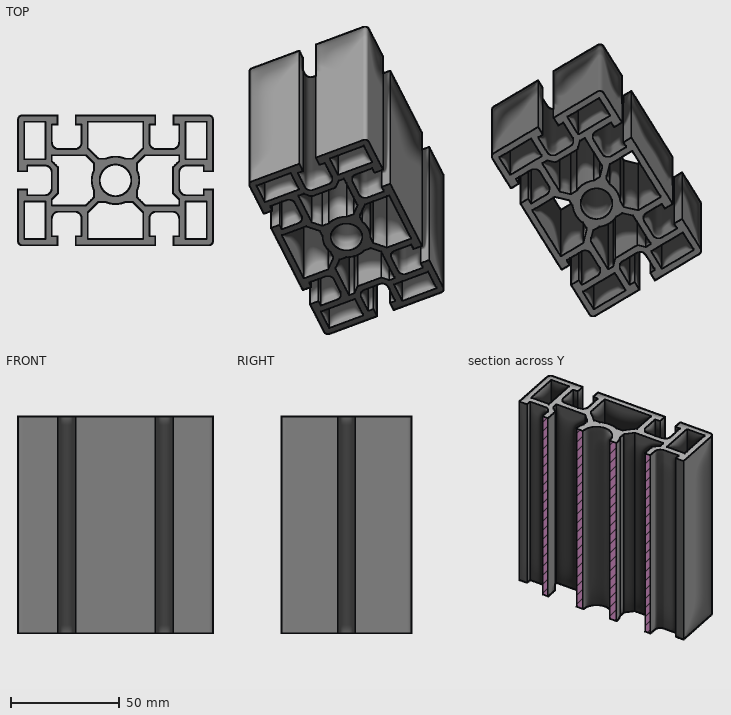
import cadquery as cq
import math

WIDTH = 90.0
DEPTH = 60.0
LENGTH = 100.0
HALF_X = WIDTH / 2
HALF_Y = DEPTH / 2
CORNER_RADIUS = 2.0

OUTER_WALL = 3.0
INNER_WALL = 3.0

SLOT_OFFSET = WIDTH / 4
SLOT_OPENING = 8.3
SLOT_CAVITY = 13.6
SLOT_LIP = 4.3
SLOT_DEPTH = 15.5
SLOT_FLOOR_RADIUS = 3.0

BORE_DIAMETER = 14.5
TUBE_DIAMETER = 22.0
HUB_HALF = 10.0
RIB_HALF_SHIFT = INNER_WALL / math.sqrt(2)

SIDE_CHAMFER_Y = 6.0


def prism(points):
    """Full-length prism over a closed polygon."""
    return cq.Workplane("XY").polyline(points).close().extrude(LENGTH)


def box_between(x_min, x_max, y_min, y_max):
    """Full-length rectangular prism."""
    return prism([(x_min, y_min), (x_max, y_min), (x_max, y_max), (x_min, y_max)])


def mirrored(right_side):
    """Right-hand points followed by their mirror images across the Y axis."""
    return right_side + [(-x, y) for x, y in reversed(right_side)]


def t_slot():
    """T-slot cutter: mouth at y = 0, floor at y = -SLOT_DEPTH."""
    mouth = box_between(-SLOT_OPENING / 2, SLOT_OPENING / 2, -SLOT_DEPTH / 2, 0)
    cavity = box_between(-SLOT_CAVITY / 2, SLOT_CAVITY / 2, -SLOT_DEPTH, -SLOT_LIP)
    cavity = cavity.edges("|Z and <Y").fillet(SLOT_FLOOR_RADIUS)
    return mouth.union(cavity)


def corner_pocket():
    """Rectangular hollow in the +X +Y corner."""
    x_min = SLOT_OFFSET + SLOT_CAVITY / 2 + INNER_WALL
    y_min = SLOT_CAVITY / 2 + INNER_WALL
    return box_between(x_min, HALF_X - OUTER_WALL, y_min, HALF_Y - OUTER_WALL)


def middle_pocket():
    """Hollow between the two +Y slots, narrowing towards the tube."""
    half_width = SLOT_OFFSET - SLOT_CAVITY / 2 - INNER_WALL
    right_side = [
        (HUB_HALF - RIB_HALF_SHIFT, HUB_HALF),
        (half_width, half_width + RIB_HALF_SHIFT),
        (half_width, HALF_Y - OUTER_WALL),
    ]
    return prism(mirrored(right_side))


def side_pocket():
    """Hollow between the tube and the +X slot, bounded by the ribs."""
    y_top = HALF_Y - SLOT_DEPTH - INNER_WALL
    x_outer = SLOT_OFFSET + SLOT_CAVITY / 2
    x_floor = HALF_X - SLOT_DEPTH - INNER_WALL
    chamfer = x_outer - x_floor
    upper = [
        (x_floor, SIDE_CHAMFER_Y),
        (x_outer, SIDE_CHAMFER_Y + chamfer),
        (x_outer, y_top),
        (y_top + RIB_HALF_SHIFT, y_top),
        (HUB_HALF, HUB_HALF - RIB_HALF_SHIFT),
    ]
    return prism(upper + [(x, -y) for x, y in reversed(upper)])


profile = cq.Workplane("XY").rect(WIDTH, DEPTH).extrude(LENGTH)
profile = profile.edges("|Z").fillet(CORNER_RADIUS)

for pocket in (corner_pocket(), middle_pocket(), side_pocket()):
    for angle in (0, 180):
        turned = pocket.rotate((0, 0, 0), (0, 0, 1), angle)
        profile = profile.cut(turned).cut(turned.mirror("YZ"))
tube = cq.Workplane("XY").circle(TUBE_DIAMETER / 2).extrude(LENGTH)
bore = cq.Workplane("XY").circle(BORE_DIAMETER / 2).extrude(LENGTH)
profile = profile.union(tube).cut(bore)

slot = t_slot()
slot_places = [
    (-SLOT_OFFSET, HALF_Y, 0),
    (SLOT_OFFSET, HALF_Y, 0),
    (-SLOT_OFFSET, -HALF_Y, 180),
    (SLOT_OFFSET, -HALF_Y, 180),
    (-HALF_X, 0, 90),
    (HALF_X, 0, -90),
]
for x, y, angle in slot_places:
    profile = profile.cut(slot.rotate((0, 0, 0), (0, 0, 1), angle).translate((x, y, 0)))

result = profile